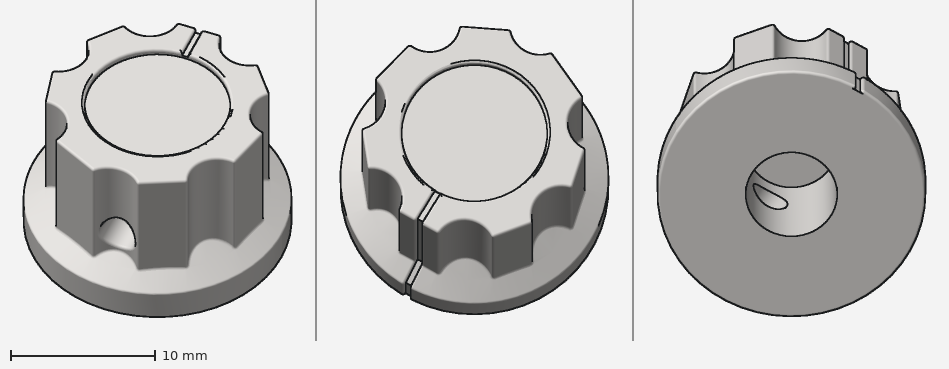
import cadquery as cq
import math

HEIGHT = 11.94
SKIRT_RADIUS = 9.3
SKIRT_EDGE_HEIGHT = 2.41
SKIRT_SLOPE = math.radians(30)

SIDE_COUNT = 7
SIDE_ANGLE = 360 / SIDE_COUNT
GRIP_APOTHEM = 7.69
FLUTE_RADIUS = 2.1
FLUTE_CENTER = 8.6
SCREW_FLUTE_CENTER = 9.05
FLUTE_TURNS = (0, 0, 2.0, 0, 0, -2.0, -3.6)

DISH_RADIUS = 5.05
DISH_DEPTH = 0.45
GROOVE_WIDTH = 0.43
GROOVE_DEPTH = 0.25

SHAFT_DIAMETER = 6.35
SHAFT_DEPTH = 8.5
SCREW_DIAMETER = 2.75
SCREW_HEIGHT = 5.56

EDGE_RADIUS = 0.2
SCREW_MOUTH_RADIUS = 0.2

TOLERANCE = 0.01


def skirt_height(radius):
    """Height of the conical skirt surface at a given radius."""
    return SKIRT_EDGE_HEIGHT + (SKIRT_RADIUS - radius) * math.tan(SKIRT_SLOPE)


def make_skirt():
    profile = (
        cq.Workplane("XZ")
        .polyline([
            (0, 0),
            (SKIRT_RADIUS, 0),
            (SKIRT_RADIUS, SKIRT_EDGE_HEIGHT),
            (0, skirt_height(0)),
        ])
        .close()
    )
    return profile.revolve(360, (0, 0, 0), (0, 1, 0))


def make_grip():
    """Seven-sided prism, one flat facing +Y, with a flute in place of each corner."""
    corner_radius = GRIP_APOTHEM / math.cos(math.pi / SIDE_COUNT)
    grip = (
        cq.Workplane("XY")
        .polygon(SIDE_COUNT, 2 * corner_radius)
        .extrude(HEIGHT)
        .rotate((0, 0, 0), (0, 0, 1), -90)
    )
    for index, turn in enumerate(FLUTE_TURNS):
        center = SCREW_FLUTE_CENTER if index == 0 else FLUTE_CENTER
        flute = (
            cq.Workplane("XY")
            .center(0, -center)
            .circle(FLUTE_RADIUS)
            .extrude(HEIGHT)
            .rotate((0, 0, 0), (0, 0, 1), index * SIDE_ANGLE + turn)
        )
        grip = grip.cut(flute)
    return grip.edges("|Z").fillet(EDGE_RADIUS)


def make_dish():
    floor = HEIGHT - DISH_DEPTH
    return cq.Workplane("XY").workplane(offset=floor).circle(DISH_RADIUS).extrude(DISH_DEPTH)


def make_groove():
    """Pointer groove of even depth over the top, the +Y flat, the skirt and the rim."""
    skirt_drop = GROOVE_DEPTH / math.cos(SKIRT_SLOPE)
    rim_floor = SKIRT_RADIUS - GROOVE_DEPTH
    wall_floor = GRIP_APOTHEM - GROOVE_DEPTH
    top_floor = HEIGHT - GROOVE_DEPTH
    return (
        cq.Workplane("YZ")
        .polyline([
            (rim_floor, 0),
            (rim_floor, skirt_height(rim_floor) - skirt_drop),
            (wall_floor, skirt_height(wall_floor) - skirt_drop),
            (wall_floor, top_floor),
            (0, top_floor),
            (0, HEIGHT),
            (SKIRT_RADIUS, HEIGHT),
            (SKIRT_RADIUS, 0),
        ])
        .close()
        .extrude(GROOVE_WIDTH / 2, both=True)
    )


def groove_mouth(edge):
    """True for the long outer edges on both sides of the pointer groove."""
    center = edge.Center()
    on_side = abs(abs(center.x) - GROOVE_WIDTH / 2) < TOLERANCE
    on_surface = (
        center.z > HEIGHT - TOLERANCE
        or center.y > SKIRT_RADIUS - TOLERANCE
        or abs(center.y - GRIP_APOTHEM) < TOLERANCE
        or edge.geomType() == "HYPERBOLA"
    )
    return on_side and on_surface


def top_edge(edge):
    """True for the edges of the top face: the grip outline and the dish rim."""
    return edge.BoundingBox().zmin > HEIGHT - TOLERANCE


def skirt_edge(edge):
    """True for everything lying on the conical skirt: its rim and the foot of the grip."""
    box = edge.BoundingBox()
    foot_top = skirt_height(FLUTE_CENTER - FLUTE_RADIUS) + TOLERANCE
    on_cone = box.zmin > SKIRT_EDGE_HEIGHT - TOLERANCE and box.zmax < foot_top
    return on_cone and edge.geomType() != "LINE"


def rounded(body):
    """Round all outer edges except those already rounded on the grip."""
    edges = [
        edge for edge in body.edges().vals()
        if groove_mouth(edge) or top_edge(edge) or skirt_edge(edge)
    ]
    body = body.newObject(edges).fillet(EDGE_RADIUS)
    return body.faces("<Z").edges("%CIRCLE").fillet(EDGE_RADIUS)


def add_screw_hole(body):
    """Radial hole through the -Y flute to the axis, with a rounded mouth."""
    hole = (
        cq.Workplane("XZ")
        .center(0, SCREW_HEIGHT)
        .circle(SCREW_DIAMETER / 2)
        .extrude(SKIRT_RADIUS)
    )
    half = SCREW_DIAMETER / 2 + TOLERANCE
    around_mouth = cq.selectors.BoxSelector(
        (-half, -SKIRT_RADIUS, SCREW_HEIGHT - half),
        (half, -GRIP_APOTHEM / 2, SCREW_HEIGHT + half),
        boundingbox=True,
    )
    return body.cut(hole).edges(around_mouth).fillet(SCREW_MOUTH_RADIUS)


def make_shaft_bore():
    return cq.Workplane("XY").circle(SHAFT_DIAMETER / 2).extrude(SHAFT_DEPTH)


body = make_skirt().union(make_grip()).cut(make_dish()).cut(make_groove())
body = add_screw_hole(rounded(body))
result = body.cut(make_shaft_bore())